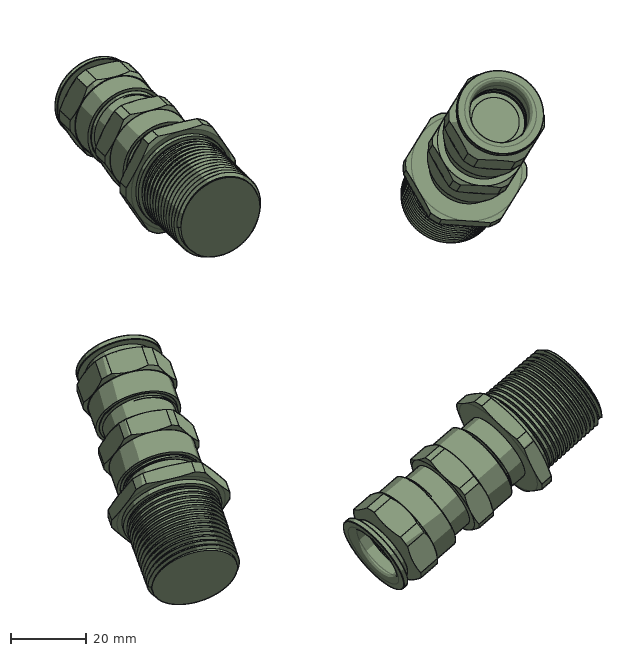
import cadquery as cq
import math

LENGTH = 72.65

FLANGE_RADIUS = 11.8
FLANGE_CHAMFER = 0.15
FLANGE_THICKNESS = 1.5
SLEEVE_RADIUS = 9.6
BORE_RADIUS = 16.1 / 2
MOUTH_ROUND = 1.7
SLEEVE_END = 4.7

NUT_START = 3.35
NUT_FRONT_RADIUS = 9.7
NUT_FRONT_CHAMFER = 1.75
NUT_REAR_CHAMFER = 0.8
NUT_HEX_END = 12.0
SMALL_HEX_FLATS = 24.0
NUT_CORNER_RADIUS = 13.0
NUT_END = 19.0
NUT_SKIRT_RADIUS = 11.8

RING_START = 5.5
RING_END = 6.75
SEAL_TIP = 6.9
SEAL_TIP_RADIUS = 6.5
SEAL_SHOULDER = 7.55
SEAL_END = 9.45

BODY_STEM_RADIUS = 20.2 / 2
BODY_SKIRT_RADIUS = 11.9
BODY_HEX_START = 25.7
BODY_HEX_END = 32.2
BODY_CORNER_RADIUS = 13.2
BODY_CHAMFER = 0.6
BODY_END = 39.6

ENTRY_START = BODY_HEX_END
ENTRY_STEM_RADIUS = 20.4 / 2
ENTRY_HEX_START = 46.0
ENTRY_HEX_END = 50.2
ENTRY_HEX_FLATS = 30.0
ENTRY_CORNER_RADIUS = 32.9 / 2
ENTRY_CHAMFER = 0.35
COLLAR_END = 51.6
COLLAR_RADIUS = 13.65
CORE_START_RADIUS = 12.6
CORE_END_RADIUS = 11.85

RIDGE_SLOPE = math.tan(math.radians(30))
RIDGE_DEPTH = 1.1
ENTRY_TURNS = 13.75
ENTRY_THREAD_START = 51.4
ENTRY_THREAD_END = 72.0
PITCH = (ENTRY_THREAD_END - ENTRY_THREAD_START) / ENTRY_TURNS
ENTRY_THREAD_END_ANGLE = 180
ENTRY_END_CREST_RADIUS = 12.8
ENTRY_CREST_GROWTH = 0.2
STEM_TURNS = 3
BODY_THREAD_END = 20.9
BODY_THREAD_TRIM = 20.0
BODY_CREST_RADIUS = 10.8
BODY_THREAD_END_ANGLE = 225
ENTRY_STEM_THREAD_END = 41.0
ENTRY_STEM_THREAD_TRIM = 40.75
ENTRY_STEM_CREST_RADIUS = 10.9
ENTRY_STEM_END_ANGLE = 195
THREAD_CLEARANCE = 0.1


def turned(profile):
    """Revolve (x, radius) points about the X axis."""
    return cq.Workplane("XY").polyline(profile).close().revolve(360, (0, 0, 0), (1, 0, 0))


def rod(start, end, radius):
    """Solid cylinder along X."""
    return cq.Workplane("YZ", origin=(start, 0, 0)).circle(radius).extrude(end - start)


def hexagon(start, end, flats):
    """Hexagonal bar along X with two flats facing up and down."""
    across_corners = flats / math.cos(math.pi / 6)
    return cq.Workplane("YZ", origin=(start, 0, 0)).polygon(6, across_corners).extrude(end - start)


def chamfered_hexagon(start, end, flats, corner_radius, front_radius, front_chamfer, rear_chamfer):
    """Hexagon with rounded corners and a conical chamfer at each end."""
    envelope = turned([
        (start, 0),
        (start, front_radius),
        (start + front_chamfer, corner_radius),
        (end - rear_chamfer, corner_radius),
        (end, flats / 2),
        (end, 0),
    ])
    return hexagon(start, end, flats).intersect(envelope)


def thread(end, turns, end_radius, growth, end_angle):
    """Right-handed V ridge about X, grown back from its end, where the crest is smallest.

    The end angle is measured from +Y towards +Z.
    """
    length = turns * PITCH
    flare = math.degrees(math.atan2(growth, length)) if growth else 360
    helix = cq.Wire.makeHelix(PITCH, length, end_radius, angle=flare)
    half_width = RIDGE_DEPTH * RIDGE_SLOPE
    ridge = (
        cq.Workplane("XZ")
        .moveTo(end_radius, 0)
        .lineTo(end_radius - RIDGE_DEPTH, half_width)
        .lineTo(end_radius - RIDGE_DEPTH, -half_width)
        .close()
        .sweep(cq.Workplane(obj=helix), isFrenet=True)
    )
    along_x = ridge.rotate((0, 0, 0), (0, 1, 0), -90).translate((end, 0, 0))
    return along_x.rotate((0, 0, 0), (1, 0, 0), end_angle - 90)


def stem_thread(end, trim, hex_start, crest_radius, end_angle):
    """Short thread on a stem, cut off square at the trim position."""
    ridge = thread(end, STEM_TURNS, crest_radius, 0, end_angle)
    return ridge.cut(rod(trim, hex_start, crest_radius + THREAD_CLEARANCE))


def make_sleeve():
    """Flanged bush with a rounded mouth."""
    flange = rod(0, FLANGE_THICKNESS, FLANGE_RADIUS).edges().chamfer(FLANGE_CHAMFER)
    neck = rod(0, SLEEVE_END, SLEEVE_RADIUS)
    sleeve = flange.union(neck).cut(rod(0, SLEEVE_END, BORE_RADIUS))
    mouth = cq.selectors.RadiusNthSelector(0)
    return sleeve.faces("<X").edges(mouth).fillet(MOUTH_ROUND)


def make_outer_nut():
    """Hexagonal nut with a plain skirt, bored for the sleeve and for the threaded stem."""
    head = chamfered_hexagon(
        NUT_START,
        NUT_HEX_END,
        SMALL_HEX_FLATS,
        NUT_CORNER_RADIUS,
        NUT_FRONT_RADIUS,
        NUT_FRONT_CHAMFER,
        NUT_REAR_CHAMFER,
    )
    skirt = rod(NUT_HEX_END, NUT_END, NUT_SKIRT_RADIUS)
    sleeve_hole = rod(NUT_START, SEAL_END, SLEEVE_RADIUS)
    stem_hole = rod(SEAL_END, NUT_END, BODY_CREST_RADIUS + THREAD_CLEARANCE)
    return head.union(skirt).cut(sleeve_hole).cut(stem_hole)


def make_clamping_ring():
    """Plain ring between the sleeve and the seal."""
    return rod(RING_START, RING_END, SLEEVE_RADIUS).cut(rod(RING_START, RING_END, BORE_RADIUS))


def make_seal():
    """Solid disc with a shallow cone facing the cable mouth."""
    return turned([
        (SEAL_TIP, 0),
        (SEAL_TIP, SEAL_TIP_RADIUS),
        (SEAL_SHOULDER, BORE_RADIUS),
        (SEAL_SHOULDER, SLEEVE_RADIUS),
        (SEAL_END, SLEEVE_RADIUS),
        (SEAL_END, 0),
    ])


def make_middle_body():
    """Hexagonal body with a threaded stem in front and a socket for the entry stem behind."""
    stem = rod(SEAL_END, BODY_HEX_START, BODY_STEM_RADIUS)
    ridge = stem_thread(
        BODY_THREAD_END,
        BODY_THREAD_TRIM,
        BODY_HEX_START,
        BODY_CREST_RADIUS,
        BODY_THREAD_END_ANGLE,
    )
    head = chamfered_hexagon(
        BODY_HEX_START,
        BODY_HEX_END,
        SMALL_HEX_FLATS,
        BODY_CORNER_RADIUS,
        SMALL_HEX_FLATS / 2,
        BODY_CHAMFER,
        BODY_CHAMFER,
    )
    skirt = rod(BODY_HEX_END, BODY_END, BODY_SKIRT_RADIUS)
    socket = rod(ENTRY_START, BODY_END, ENTRY_STEM_CREST_RADIUS + THREAD_CLEARANCE)
    return stem.union(ridge).union(head).union(skirt).cut(socket)


def make_entry_body():
    """Large hexagon with a threaded stem in front and a collar and tapered thread behind."""
    stem = rod(ENTRY_START, ENTRY_HEX_START, ENTRY_STEM_RADIUS)
    stem_ridge = stem_thread(
        ENTRY_STEM_THREAD_END,
        ENTRY_STEM_THREAD_TRIM,
        ENTRY_HEX_START,
        ENTRY_STEM_CREST_RADIUS,
        ENTRY_STEM_END_ANGLE,
    )
    head = chamfered_hexagon(
        ENTRY_HEX_START,
        ENTRY_HEX_END,
        ENTRY_HEX_FLATS,
        ENTRY_CORNER_RADIUS,
        ENTRY_HEX_FLATS / 2,
        ENTRY_CHAMFER,
        ENTRY_CHAMFER,
    )
    collar = rod(ENTRY_HEX_END, COLLAR_END, COLLAR_RADIUS)
    core = turned([
        (COLLAR_END, 0),
        (COLLAR_END, CORE_START_RADIUS),
        (LENGTH, CORE_END_RADIUS),
        (LENGTH, 0),
    ])
    entry_ridge = thread(
        ENTRY_THREAD_END,
        ENTRY_TURNS,
        ENTRY_END_CREST_RADIUS,
        ENTRY_CREST_GROWTH,
        ENTRY_THREAD_END_ANGLE,
    )
    front = stem.union(stem_ridge).union(head).union(collar)
    return front.union(core.union(entry_ridge))


sleeve = make_sleeve()
outer_nut = make_outer_nut()
clamping_ring = make_clamping_ring()
seal = make_seal()
middle_body = make_middle_body()
entry_body = make_entry_body()

result = cq.Compound.makeCompound([
    sleeve.val(),
    outer_nut.val(),
    clamping_ring.val(),
    seal.val(),
    middle_body.val(),
    entry_body.val(),
])